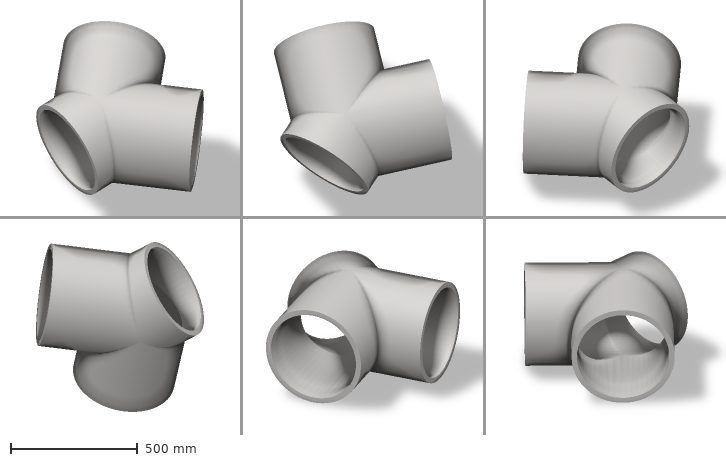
import cadquery as cq
import math

overall_width = 826.0
overall_depth = 578.0
outer_diameter = 406.5
inner_diameter = 363.5
arm_angle = 45.0

outer_radius = outer_diameter / 2
angle = math.radians(arm_angle)
half_width = overall_width / 2
arm_length = (half_width - outer_radius * math.cos(angle)) / math.sin(angle)
arm_reach_y = arm_length * math.cos(angle) + outer_radius * math.sin(angle)
stem_length = overall_depth - arm_reach_y


def cylinder_from_junction(diameter, length, direction):
    """Solid cylinder running from the junction along a direction."""
    plane = cq.Plane(origin=(0, 0, 0), xDir=(0, 0, 1), normal=direction)
    return cq.Workplane(plane).circle(diameter / 2).extrude(length)


def wye(diameter):
    """Stem and two arms of one diameter, joined at the junction."""
    body = cylinder_from_junction(diameter, stem_length, (0, -1, 0))
    for side in (-1, 1):
        direction = (side * math.sin(angle), math.cos(angle), 0)
        body = body.union(cylinder_from_junction(diameter, arm_length, direction))
    return body


result = wye(outer_diameter).cut(wye(inner_diameter))